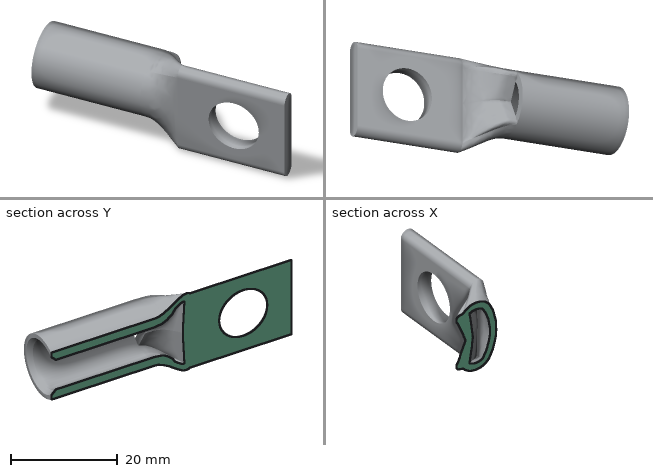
import cadquery as cq
import math

total_length = 52.05
barrel_length = 22.35
barrel_radius = 6.5
bore_radius = 4.9
wall = barrel_radius - bore_radius
mouth_radius = 5.6
mouth_depth = 1.05

pad_start = 30.05
pad_width = 18.55
pad_thickness = 3.2
pad_bottom = -barrel_radius
edge_radius = pad_thickness / 2
hole_diameter = 10.3
hole_x = 41.6

fold_angle = math.radians(60)
outer_fold_y = 1.55
inner_fold_y = outer_fold_y - wall / math.sin(fold_angle)
lip_radius = 0.8
flat_lip_width = 0.8
slit_height = 0.1
section_count = 7

SIDE_END = 3


def on_circle(radius, angle):
    return (radius * math.cos(angle), radius * math.sin(angle))


def v_circle_crossing(tip_y, radius):
    """Crossing, on the +Z side, of a circle about the axis and the V leg from (tip_y, 0)."""
    axis_distance = tip_y * math.sin(fold_angle)
    along = math.sqrt(radius**2 - axis_distance**2) - tip_y * math.cos(fold_angle)
    return (tip_y + along * math.cos(fold_angle), along * math.sin(fold_angle))


def folded_outer():
    lip_center_fold_y = outer_fold_y - lip_radius / math.sin(fold_angle)
    lip_center = v_circle_crossing(lip_center_fold_y, barrel_radius - lip_radius)
    lip_start_angle = math.atan2(lip_center[1], lip_center[0])
    lip_end_angle = fold_angle - math.pi / 2
    lip_middle_angle = (lip_start_angle + lip_end_angle) / 2
    lip = [
        (lip_center[0] + lip_radius * math.cos(a), lip_center[1] + lip_radius * math.sin(a))
        for a in (lip_middle_angle, lip_end_angle)
    ]
    side_angles = (math.pi - lip_start_angle, math.pi / 2, lip_start_angle)
    side = [on_circle(barrel_radius, a) for a in side_angles]
    return [(-barrel_radius, 0)] + side + lip + [(outer_fold_y, 0)]


def folded_inner():
    corner = v_circle_crossing(inner_fold_y, bore_radius)
    corner_angle = math.atan2(corner[1], corner[0])
    side_angles = (math.pi - corner_angle, math.pi / 2, corner_angle)
    side = [on_circle(bore_radius, a) for a in side_angles]
    return [(-bore_radius, 0)] + side + [(inner_fold_y, 0)]


def flat_side(bottom_y, height, width):
    """Bottom middle and round side of a flat slot profile."""
    radius = height / 2
    flat_z = width / 2 - radius
    return [
        (bottom_y, 0),
        (bottom_y, flat_z),
        (bottom_y + radius, flat_z + radius),
        (bottom_y + height, flat_z),
    ]


def flat_outer():
    top_y = pad_bottom + pad_thickness
    flat_z = pad_width / 2 - edge_radius
    lip = [(top_y, flat_z - flat_lip_width / 2), (top_y, flat_z - flat_lip_width)]
    return flat_side(pad_bottom, pad_thickness, pad_width) + lip + [(top_y, 0)]


def flat_inner():
    bottom_y = pad_bottom + (pad_thickness - slit_height) / 2
    slit_width = pad_width - pad_thickness
    return flat_side(bottom_y, slit_height, slit_width) + [(bottom_y + slit_height, 0)]


def blend(folded, flat, travel):
    """Half profile part way along the neck; it leaves the barrel tangent to the axis.

    The lip and the fold start later than the side and then flatten faster.
    """
    side_share = travel**2 * (2 - travel)
    fold_share = travel**4 * (5 - 4 * travel)
    half = []
    for index, (start, end) in enumerate(zip(folded, flat)):
        share = side_share if index <= SIDE_END else fold_share
        half.append(tuple(a + share * (b - a) for a, b in zip(start, end)))
    return half


def profile_wire(x, half):
    """Closed wire in the plane at x, made of the half profile and its mirror image."""
    def half_edges(mirror):
        points = [cq.Vector(x, y, mirror * z) for y, z in half]
        side = cq.Edge.makeThreePointArc(*points[1:SIDE_END + 1])
        leg = cq.Edge.makeLine(points[-2], points[-1])
        lip_points = points[SIDE_END:-1]
        if len(lip_points) == 1:
            return [side, leg]
        return [side, cq.Edge.makeSpline(lip_points), leg]

    bottom_y, _ = half[0]
    corner_y, corner_z = half[1]
    corners = [cq.Vector(x, corner_y, mirror * corner_z) for mirror in (-1, 1)]
    if math.isclose(bottom_y, corner_y):
        floor = cq.Edge.makeLine(*corners)
    else:
        floor = cq.Edge.makeThreePointArc(corners[0], cq.Vector(x, bottom_y, 0), corners[1])
    return cq.Wire.assembleEdges([floor] + half_edges(1) + half_edges(-1)[::-1])


def neck_loft(folded, flat):
    wires = []
    for i in range(section_count):
        travel = i / (section_count - 1)
        x = barrel_length + travel * (pad_start - barrel_length)
        wires.append(profile_wire(x, blend(folded, flat, travel)))
    return cq.Workplane(cq.Solid.makeLoft(wires))


barrel = cq.Workplane("YZ").circle(barrel_radius).circle(bore_radius).extrude(barrel_length)
mouth = cq.Workplane(
    cq.Solid.makeCone(
        mouth_radius, bore_radius, mouth_depth, cq.Vector(0, 0, 0), cq.Vector(1, 0, 0)
    )
)

pad = (
    cq.Workplane("YZ", origin=(pad_start, pad_bottom + edge_radius, 0))
    .slot2D(pad_width, pad_thickness, 90)
    .extrude(total_length - pad_start)
)
hole = (
    cq.Workplane("XZ", origin=(hole_x, 0, 0))
    .circle(hole_diameter / 2)
    .extrude(barrel_radius)
)

neck = neck_loft(folded_outer(), flat_outer())
cavity = neck_loft(folded_inner(), flat_inner())

result = barrel.cut(mouth).union(neck.cut(cavity)).union(pad.cut(hole))